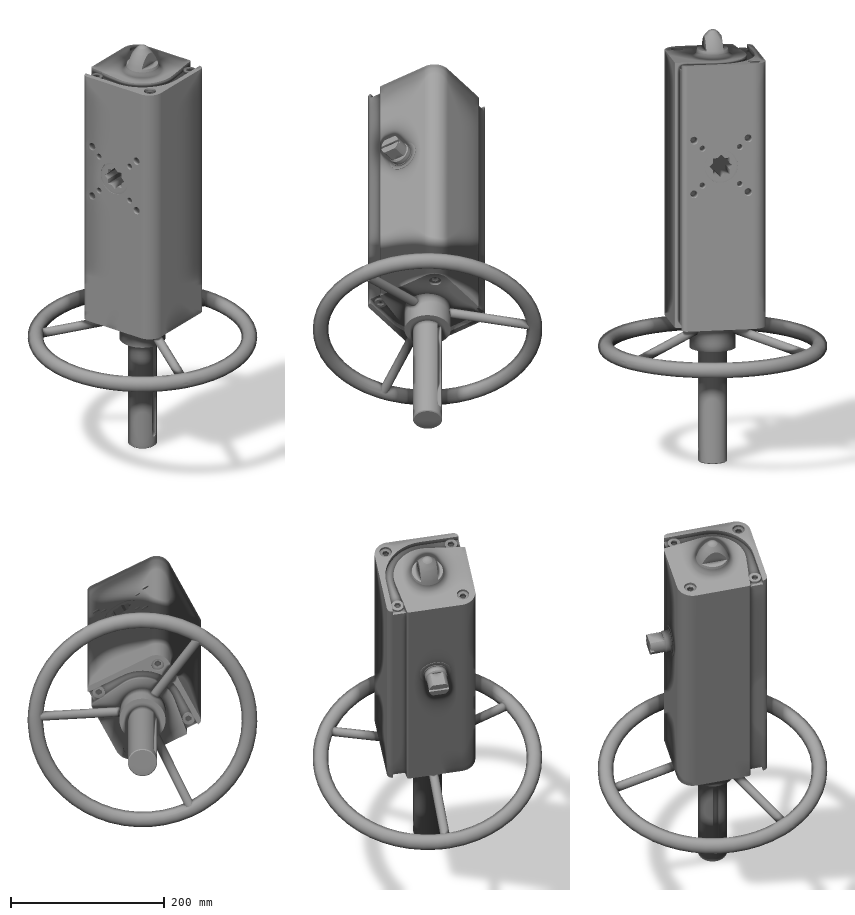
import cadquery as cq
import math

HOUSING_TOP = 255.0
HOUSING_BOTTOM = -100.0
PINION_Z = 120.0
INDICATOR_TIP = 289.5
TUBE_BOTTOM = -289.5

NEAR_FACE = 57.0
FAR_FACE = 62.0
LEDGE_FACE = 51.5
STEP_ANGLE = 8.0
STEP_RADIUS = 44.25
NEAR_CORNER_RADIUS = 21.0
FAR_CORNER_RADIUS = 19.0
LEDGE_CORNER_RADIUS = 7.0
STEP_EDGE_RADIUS = 2.5

GROOVE_DEPTH = 7.0
GROOVE_OUTER_RADIUS = 55.0

SCREW_NEAR = 40.0
SCREW_FAR = 47.0
SCREW_HEAD_DIAMETER = 16.0
SCREW_HEAD_TOP = 252.0
SCREW_SOCKET_FLATS = 8.0
SCREW_SOCKET_DEPTH = 4.5

INNER_BOLT_CIRCLE = 70.0
INNER_HOLE_DIAMETER = 6.5
INNER_HOLE_MOUTH = 8.0
OUTER_BOLT_CIRCLE = 102.0
OUTER_HOLE_DIAMETER = 8.5
OUTER_HOLE_MOUTH = 10.5
MOUNTING_HOLE_DEPTH = 14.5
DRILL_POINT_ANGLE = 118.0

PINION_DIAMETER = 44.0
PINION_RECESS_DEPTH = 0.5
STAR_SQUARE = 22.0
STAR_DEPTH = 29.0

DISC_DIAMETER = 41.0
DISC_END = 57.5
WASHER_DIAMETER = 31.0
WASHER_END = 58.5
COLLAR_DIAMETER = 29.0
COLLAR_END = 67.0
COLLAR_CHAMFER = 2.0
SHANK_DIAMETER = 26.5
SHANK_END = 86.0
SHANK_FLATS = 21.0
SHANK_SLOT_WIDTH = 3.5
SHANK_SLOT_DEPTH = 4.5

INDICATOR_FOOT_RADIUS = 27.0
INDICATOR_BASE_RADIUS = 21.5
INDICATOR_BASE_TOP = 260.5
INDICATOR_LEDGE = 264.0
INDICATOR_MID_RADIUS = 15.0
INDICATOR_MID_Z = 275.5
INDICATOR_CAP_RADIUS = 6.5
INDICATOR_CAP_BOTTOM = 287.0
INDICATOR_THICKNESS = 22.5

SPINDLE_DIAMETER = 28.0
SPINDLE_BOTTOM = -258.5

RIM_OUTER_DIAMETER = 300.0
RIM_SECTION_DIAMETER = 20.0
RIM_Z = -135.5
HUB_DIAMETER = 60.0
HUB_BOTTOM = -136.5
TUBE_DIAMETER = 38.0
TUBE_END_CHAMFER = 1.0
TUBE_SLOT_WIDTH = 8.0
TUBE_SLOT_BOTTOM = -275.0
SPOKE_DIAMETER = 12.0
SPOKE_SLOPE = 15.0
SPOKE_HUB_Z = -110.0
SPOKE_ANGLES = (90, 210, 330)


def step_wall_x(y):
    """X of the sloped step wall at a given Y."""
    slope = math.radians(STEP_ANGLE)
    return (STEP_RADIUS - y * math.sin(slope)) / math.cos(slope)


def housing_block():
    step_outer = step_wall_x(NEAR_FACE)
    step_inner = step_wall_x(LEDGE_FACE)
    outline = [
        (-NEAR_FACE, NEAR_FACE),
        (step_outer, NEAR_FACE),
        (step_inner, LEDGE_FACE),
        (FAR_FACE, LEDGE_FACE),
        (FAR_FACE, -FAR_FACE),
        (-LEDGE_FACE, -FAR_FACE),
        (-LEDGE_FACE, -step_inner),
        (-NEAR_FACE, -step_outer),
    ]
    block = cq.Workplane("XY", origin=(0, 0, HOUSING_BOTTOM))
    block = block.polyline(outline).close().extrude(HOUSING_TOP - HOUSING_BOTTOM)
    rounded_corners = [
        (NEAR_CORNER_RADIUS, [(-NEAR_FACE, NEAR_FACE)]),
        (FAR_CORNER_RADIUS, [(FAR_FACE, -FAR_FACE)]),
        (LEDGE_CORNER_RADIUS, [(FAR_FACE, LEDGE_FACE), (-LEDGE_FACE, -FAR_FACE)]),
        (STEP_EDGE_RADIUS, [(step_outer, NEAR_FACE), (-NEAR_FACE, -step_outer)]),
    ]
    middle_z = (HOUSING_TOP + HOUSING_BOTTOM) / 2
    for radius, corners in rounded_corners:
        for x, y in corners:
            edge = cq.selectors.NearestToPointSelector((x, y, middle_z))
            block = block.edges("|Z").edges(edge).fillet(radius)
    return block


def both_ends(features):
    """The given features of the top end, plus their mirror images at the bottom end."""
    middle_z = (HOUSING_TOP + HOUSING_BOTTOM) / 2
    return features.union(features.mirror("XY", (0, 0, middle_z)))


def groove():
    """Groove from step to step, between the round wall and a larger round wall."""
    slope = math.radians(STEP_ANGLE)
    diagonal = math.sqrt(0.5)
    step_inner = step_wall_x(LEDGE_FACE)
    tangent_x = STEP_RADIUS * math.cos(slope)
    tangent_y = STEP_RADIUS * math.sin(slope)
    return (
        cq.Workplane("XY", origin=(0, 0, HOUSING_TOP - GROOVE_DEPTH))
        .moveTo(step_inner, LEDGE_FACE)
        .lineTo(tangent_x, tangent_y)
        .threePointArc((STEP_RADIUS * diagonal, -STEP_RADIUS * diagonal), (-tangent_y, -tangent_x))
        .lineTo(-LEDGE_FACE, -step_inner)
        .lineTo(-LEDGE_FACE, -GROOVE_OUTER_RADIUS)
        .lineTo(0, -GROOVE_OUTER_RADIUS)
        .threePointArc(
            (GROOVE_OUTER_RADIUS * diagonal, -GROOVE_OUTER_RADIUS * diagonal),
            (GROOVE_OUTER_RADIUS, 0),
        )
        .lineTo(GROOVE_OUTER_RADIUS, LEDGE_FACE)
        .close()
        .extrude(GROOVE_DEPTH)
    )


def screw_points(z):
    centres = [(x, y) for x in (-SCREW_NEAR, SCREW_FAR) for y in (SCREW_NEAR, -SCREW_FAR)]
    return cq.Workplane("XY", origin=(0, 0, z)).pushPoints(centres)


def screw_recesses():
    above_heads = screw_points(SCREW_HEAD_TOP).circle(SCREW_HEAD_DIAMETER / 2)
    return above_heads.extrude(HOUSING_TOP - SCREW_HEAD_TOP)


def screw_heads():
    """Round heads reaching down to the groove floor."""
    floor_z = HOUSING_TOP - GROOVE_DEPTH
    return screw_points(floor_z).circle(SCREW_HEAD_DIAMETER / 2).extrude(SCREW_HEAD_TOP - floor_z)


def screw_sockets():
    corner_diameter = SCREW_SOCKET_FLATS / math.cos(math.radians(30))
    sockets = screw_points(SCREW_HEAD_TOP).polygon(6, corner_diameter)
    return sockets.extrude(-SCREW_SOCKET_DEPTH)


def mounting_hole(x, z, diameter, mouth):
    """Countersunk blind hole with a drill point, entering from the -Y face."""
    radius = diameter / 2
    mouth_radius = mouth / 2
    point_length = radius / math.tan(math.radians(DRILL_POINT_ANGLE / 2))
    profile = [
        (0, 0),
        (mouth_radius, 0),
        (radius, mouth_radius - radius),
        (radius, MOUNTING_HOLE_DEPTH),
        (0, MOUNTING_HOLE_DEPTH + point_length),
    ]
    hole = cq.Workplane("XY").polyline(profile).close().revolve(360, (0, 0), (0, 1))
    return hole.translate((x, -FAR_FACE, z))


def mounting_holes():
    holes = cq.Workplane("XY")
    for circle, diameter, mouth in (
        (INNER_BOLT_CIRCLE, INNER_HOLE_DIAMETER, INNER_HOLE_MOUTH),
        (OUTER_BOLT_CIRCLE, OUTER_HOLE_DIAMETER, OUTER_HOLE_MOUTH),
    ):
        offset = circle / 2 * math.sqrt(0.5)
        for x in (-offset, offset):
            for z in (PINION_Z - offset, PINION_Z + offset):
                holes = holes.add(mounting_hole(x, z, diameter, mouth))
    return holes.combine()


def drive_socket():
    """Shallow round recess with an eight-pointed star socket in its floor."""
    face = cq.Workplane("XZ", origin=(0, -FAR_FACE, PINION_Z))
    socket = face.circle(PINION_DIAMETER / 2).extrude(-PINION_RECESS_DEPTH)
    for angle in (0, 45):
        square = face.transformed(rotate=(0, 0, angle)).rect(STAR_SQUARE, STAR_SQUARE)
        socket = socket.union(square.extrude(-STAR_DEPTH))
    return socket


def pinion_end():
    """Stepped end with two flats and a cross slot on the +Y face."""
    base = cq.Workplane("XZ", origin=(0, NEAR_FACE, PINION_Z))
    disc = base.circle(DISC_DIAMETER / 2).extrude(NEAR_FACE - DISC_END)
    washer = base.circle(WASHER_DIAMETER / 2).extrude(NEAR_FACE - WASHER_END)
    collar = base.circle(COLLAR_DIAMETER / 2).extrude(NEAR_FACE - COLLAR_END)
    collar = collar.faces(">Y").chamfer(COLLAR_CHAMFER)
    shank_length = SHANK_END - NEAR_FACE
    shank = base.circle(SHANK_DIAMETER / 2).extrude(-shank_length)
    shank = shank.intersect(base.rect(SHANK_DIAMETER, SHANK_FLATS).extrude(-shank_length))
    slot = cq.Workplane("XZ", origin=(0, SHANK_END, PINION_Z))
    slot = slot.rect(SHANK_DIAMETER, SHANK_SLOT_WIDTH).extrude(SHANK_SLOT_DEPTH)
    return disc.union(washer).union(collar).union(shank.cut(slot))


def indicator():
    """Flared ogive with a domed tip, cut to a blade above its ledge."""
    quarter = math.sqrt(0.5)
    flare_width = INDICATOR_FOOT_RADIUS - INDICATOR_BASE_RADIUS
    flare_height = INDICATOR_BASE_TOP - HOUSING_TOP
    flare_middle = (
        INDICATOR_FOOT_RADIUS - flare_width * quarter,
        INDICATOR_BASE_TOP - flare_height * quarter,
    )
    cap_height = INDICATOR_TIP - INDICATOR_CAP_BOTTOM
    cap_sphere_radius = (INDICATOR_CAP_RADIUS**2 + cap_height**2) / (2 * cap_height)
    cap_middle_x = INDICATOR_CAP_RADIUS / 2
    cap_middle_drop = cap_sphere_radius - math.sqrt(cap_sphere_radius**2 - cap_middle_x**2)
    ogive = (
        cq.Workplane("XZ")
        .moveTo(0, HOUSING_TOP)
        .lineTo(INDICATOR_FOOT_RADIUS, HOUSING_TOP)
        .threePointArc(flare_middle, (INDICATOR_BASE_RADIUS, INDICATOR_BASE_TOP))
        .threePointArc(
            (INDICATOR_MID_RADIUS, INDICATOR_MID_Z),
            (INDICATOR_CAP_RADIUS, INDICATOR_CAP_BOTTOM),
        )
        .threePointArc((cap_middle_x, INDICATOR_TIP - cap_middle_drop), (0, INDICATOR_TIP))
        .close()
        .revolve(360, (0, 0), (0, 1))
    )
    blade_height = INDICATOR_TIP - INDICATOR_LEDGE
    above_ledge = cq.Workplane("XY", origin=(0, 0, INDICATOR_LEDGE))
    envelope = above_ledge.circle(INDICATOR_FOOT_RADIUS).extrude(blade_height)
    blade = above_ledge.rect(INDICATOR_THICKNESS, 2 * INDICATOR_FOOT_RADIUS).extrude(blade_height)
    return ogive.cut(envelope.cut(blade))


def spindle():
    rod = cq.Workplane("XY", origin=(0, 0, HOUSING_BOTTOM)).circle(SPINDLE_DIAMETER / 2)
    return rod.extrude(SPINDLE_BOTTOM - HOUSING_BOTTOM)


def make_actuator():
    body = housing_block()
    body = body.cut(both_ends(groove())).cut(both_ends(screw_recesses()))
    body = body.union(both_ends(screw_heads())).cut(both_ends(screw_sockets()))
    body = body.cut(mounting_holes()).cut(drive_socket())
    return body.union(pinion_end()).union(indicator()).union(spindle())


def spoke(angle):
    """Round rod sloping from inside the hub down into the inner half of the rim section."""
    slope = math.radians(SPOKE_SLOPE)
    start_x = (SPINDLE_DIAMETER + HUB_DIAMETER) / 4
    end_x = RIM_OUTER_DIAMETER / 2 - RIM_SECTION_DIAMETER * 3 / 4
    start_z = SPOKE_HUB_Z + (HUB_DIAMETER / 2 - start_x) * math.tan(slope)
    axis = cq.Plane(
        origin=(start_x, 0, start_z),
        xDir=(0, 1, 0),
        normal=(math.cos(slope), 0, -math.sin(slope)),
    )
    rod = cq.Workplane(axis).circle(SPOKE_DIAMETER / 2).extrude((end_x - start_x) / math.cos(slope))
    return rod.rotate((0, 0, 0), (0, 0, 1), angle)


def make_handwheel():
    top = cq.Workplane("XY", origin=(0, 0, HOUSING_BOTTOM))
    hub = top.circle(HUB_DIAMETER / 2).extrude(HUB_BOTTOM - HOUSING_BOTTOM)
    tube = top.circle(TUBE_DIAMETER / 2).extrude(TUBE_BOTTOM - HOUSING_BOTTOM)
    tube = tube.faces("<Z").chamfer(TUBE_END_CHAMFER)
    bore = top.circle(SPINDLE_DIAMETER / 2).extrude(TUBE_SLOT_BOTTOM - HOUSING_BOTTOM)

    slot_radius = TUBE_SLOT_WIDTH / 2
    slot = (
        cq.Workplane("YZ")
        .moveTo(-slot_radius, HUB_BOTTOM)
        .lineTo(-slot_radius, TUBE_SLOT_BOTTOM + slot_radius)
        .threePointArc((0, TUBE_SLOT_BOTTOM), (slot_radius, TUBE_SLOT_BOTTOM + slot_radius))
        .lineTo(slot_radius, HUB_BOTTOM)
        .close()
        .extrude(TUBE_DIAMETER / 2, both=True)
    )
    wheel = hub.union(tube).cut(bore).cut(slot)
    for angle in SPOKE_ANGLES:
        wheel = wheel.union(spoke(angle))

    rim_radius = (RIM_OUTER_DIAMETER - RIM_SECTION_DIAMETER) / 2
    rim = cq.Solid.makeTorus(rim_radius, RIM_SECTION_DIAMETER / 2, cq.Vector(0, 0, RIM_Z))
    return wheel.union(cq.Workplane(rim), clean=False)


actuator = make_actuator()
handwheel = make_handwheel()
result = cq.Compound.makeCompound([actuator.val(), handwheel.val()])